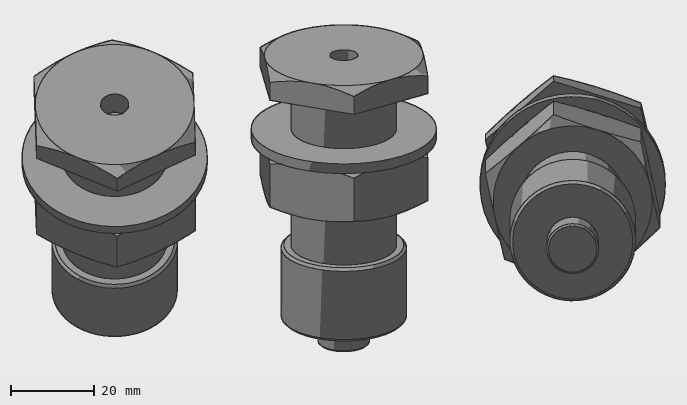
import cadquery as cq
import math

total_height = 74.6
tip_height = 6.35
collar_height = 19.0
nut_bottom = 39.2
nut_height = 13.9
washer_thickness = 2.5
head_height = 6.35

tip_diameter = 12.45
collar_diameter = 30.15
shank_diameter = 25.4
washer_diameter = 44.45
across_flats = 38.1

tip_chamfer = 0.45
collar_chamfer = 0.7
head_bevel = 1.7
nut_bevel = 1.35

bore_diameter = 6.7
bore_depth = 8.95
pin_diameter = 6.35
pin_height = 3.0
pin_chamfer = 0.45

across_corners = across_flats / math.cos(math.pi / 6)
head_bottom = total_height - head_height
washer_bottom = nut_bottom + nut_height
bore_floor = total_height - bore_depth


def cylinder(diameter, bottom, height):
    return cq.Workplane("XY").workplane(offset=bottom).circle(diameter / 2).extrude(height)


def hexagon(bottom, height, top_bevel, bottom_bevel=0.0):
    """Hexagonal prism with corners on the X axis and conically bevelled ends."""
    prism = cq.Workplane("XY").workplane(offset=bottom).polygon(6, across_corners).extrude(height)
    flat_radius = across_flats / 2
    corner_radius = across_corners / 2
    top = bottom + height
    profile = cq.Workplane("XZ").moveTo(0, bottom)
    if bottom_bevel > 0:
        profile = profile.lineTo(flat_radius, bottom)
    envelope = (
        profile.lineTo(corner_radius, bottom + bottom_bevel)
        .lineTo(corner_radius, top - top_bevel)
        .lineTo(flat_radius, top)
        .lineTo(0, top)
        .close()
        .revolve(360, (0, 0, 0), (0, 1, 0))
    )
    return prism.intersect(envelope)


tip = cylinder(tip_diameter, 0, tip_height).edges().chamfer(tip_chamfer)
collar = cylinder(collar_diameter, tip_height, collar_height).edges().chamfer(collar_chamfer)
shank = cylinder(shank_diameter, tip_height, head_bottom - tip_height)
washer = cylinder(washer_diameter, washer_bottom, washer_thickness)

nut = hexagon(nut_bottom, nut_height, nut_bevel, nut_bevel)
head = hexagon(head_bottom, head_height, head_bevel)

body = tip.union(collar).union(shank).union(nut).union(washer).union(head)

bore = cylinder(bore_diameter, bore_floor, bore_depth)
pin = cylinder(pin_diameter, bore_floor, pin_height).faces(">Z").chamfer(pin_chamfer)

result = body.cut(bore).union(pin)